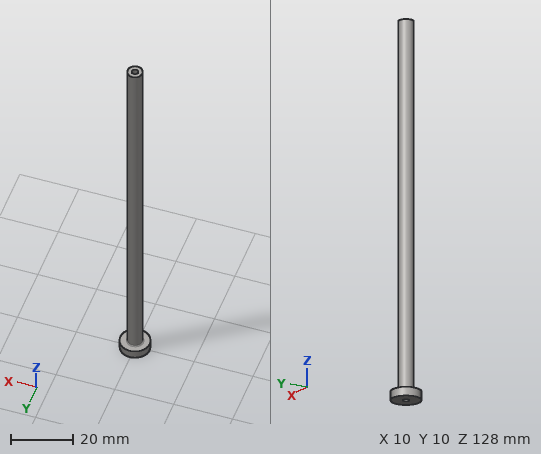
import cadquery as cq

total_length = 128.0
head_diameter = 10.0
head_height = 3.0
shaft_diameter = 5.0
bore_diameter = 2.0
root_fillet = 0.3

head_radius = head_diameter / 2
shaft_radius = shaft_diameter / 2
root_radius = shaft_radius + root_fillet

half_section = (
    cq.Workplane("XZ")
    .moveTo(0, 0)
    .lineTo(head_radius, 0)
    .lineTo(head_radius, head_height)
    .lineTo(root_radius, head_height)
    .radiusArc((shaft_radius, head_height + root_fillet), root_fillet)
    .lineTo(shaft_radius, total_length)
    .lineTo(0, total_length)
    .close()
)
sleeve = half_section.revolve(360, (0, 0, 0), (0, 1, 0))

bore = cq.Workplane("XY").circle(bore_diameter / 2).extrude(total_length)

result = sleeve.cut(bore)